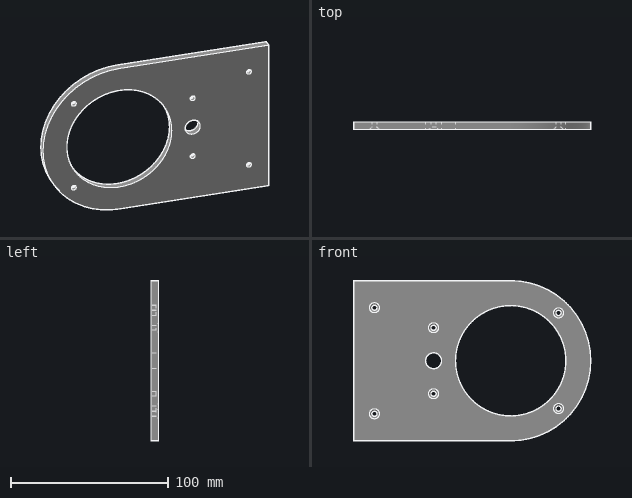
import cadquery as cq
import math

length = 151.0
width = 102.1
thickness = 5.0
end_radius = width / 2
straight_length = length - end_radius

window_diameter = 70.1
shaft_hole_diameter = 10.0
shaft_hole_x = 50.9

screw_diameter = 3.2
countersink_diameter = 6.3
countersink_angle = 90.0
rear_screw_x = 13.3
rear_screw_spacing = 67.5
middle_screw_x = shaft_hole_x
middle_screw_spacing = 42.0
ring_screw_radius = 43.0
ring_screw_angle = math.radians(45)

ring_screw_x = straight_length + ring_screw_radius * math.cos(ring_screw_angle)
ring_screw_z = ring_screw_radius * math.sin(ring_screw_angle)


def mirrored_pair(x, z):
    return [(x, z), (x, -z)]


plate = (
    cq.Workplane("XZ")
    .moveTo(0, -end_radius)
    .lineTo(straight_length, -end_radius)
    .threePointArc((length, 0), (straight_length, end_radius))
    .lineTo(0, end_radius)
    .close()
    .extrude(-thickness)
)

screw_points = (
    mirrored_pair(rear_screw_x, rear_screw_spacing / 2)
    + mirrored_pair(middle_screw_x, middle_screw_spacing / 2)
    + mirrored_pair(ring_screw_x, ring_screw_z)
)

result = (
    plate.faces("<Y")
    .workplane(origin=(0, 0, 0))
    .pushPoints([(straight_length, 0)])
    .hole(window_diameter)
    .faces("<Y")
    .workplane(origin=(0, 0, 0))
    .pushPoints([(shaft_hole_x, 0)])
    .hole(shaft_hole_diameter)
    .faces("<Y")
    .workplane(origin=(0, 0, 0))
    .pushPoints(screw_points)
    .cskHole(screw_diameter, countersink_diameter, countersink_angle)
)